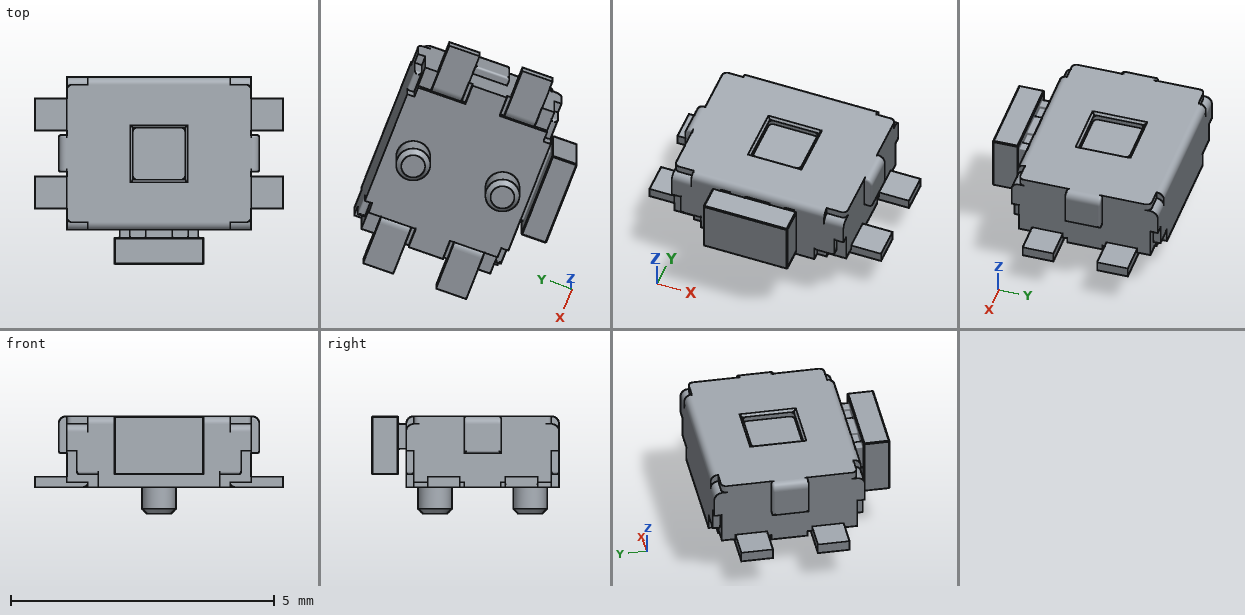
import cadquery as cq


body_length = 3.487
body_width = 2.9
total_height = 1.35
sheet = 0.145
housing_height = total_height - sheet
core_width = body_width - 2 * sheet
cover_length = 2.7
cover_corner_radius = 0.1
corner_block_bottom = 0.69

flap_length = 3.11
flap_bottom = 0.245
flap_edge_radius = 0.055
panel_length = 2.305
panel_height = 0.925

clip_reach = 0.16
clip_width = 0.7
clip_bottom = 0.65
clip_edge_radius = 0.045

window_size = 1.085
window_bevel = 0.045
window_corner_radius = 0.085
window_y = -0.005

terminal_span = 4.7
terminal_width = 0.61
terminal_height = 0.2
terminal_spacing = 1.475
terminal_bend_radius = 0.165
terminal_inner_x = 1.31
undercut_height = 0.1
undercut_inner_x = cover_length / 2
undercut_inner_y = 0.35

pin_diameter = 0.65
pin_length = 0.505
pin_chamfer = 0.1
pin_spacing = 1.805

button_protrusion = 0.65
button_length = 1.7
button_depth = 0.505
button_bottom = 0.245
button_edge = 0.02
stem_length = 1.495
stem_bottom = 0.73
stem_edge = 0.02
root_radius = 0.02
groove_width = 0.3
groove_x = 0.4
groove_depth = 0.07
groove_edge = 0.02


def block(length, width, bottom, top, x=0, y=0):
    """Box centred at (x, y) that spans the heights bottom to top."""
    size = (length, width, top - bottom)
    return cq.Workplane("XY").box(*size, centered=(True, True, False)).translate((x, y, bottom))


def make_housing():
    core = block(body_length, core_width, 0, housing_height)
    undercut_x = (body_length / 2 + undercut_inner_x) / 2
    undercut_y = (core_width / 2 + undercut_inner_y) / 2
    undercut_size = (body_length / 2 - undercut_inner_x, core_width / 2 - undercut_inner_y)
    for sx in (-1, 1):
        for sy in (-1, 1):
            core = core.cut(block(*undercut_size, 0, undercut_height, sx * undercut_x, sy * undercut_y))
    shoulders = block(body_length, body_width, corner_block_bottom, housing_height)
    shoulders = shoulders.edges("|X and >Z").fillet(sheet)
    panels = block(panel_length, body_width, 0, panel_height)
    return core.union(shoulders).union(panels)


def make_cover():
    plate = block(body_length, core_width, housing_height, total_height)
    plate = plate.edges("|Z").fillet(cover_corner_radius)
    bends = block(cover_length, body_width, corner_block_bottom, total_height)
    bends = bends.edges("|X and >Z").fillet(sheet)
    cover = plate.union(bends)
    for side in (-1, 1):
        flap_y = side * (body_width - sheet) / 2
        flap = block(flap_length, sheet, flap_bottom, corner_block_bottom, y=flap_y)
        cover = cover.union(flap.faces("<Z").edges().fillet(flap_edge_radius))
    return cover


def make_clips():
    clips = block(body_length + 2 * clip_reach, clip_width, clip_bottom, total_height)
    clips = clips.edges("|Y and >Z").fillet(sheet)
    return clips.faces("<X or >X").edges("not >Z").fillet(clip_edge_radius)


def make_window():
    opening_size = window_size - 2 * window_bevel
    opening = block(opening_size, opening_size, housing_height, total_height, y=window_y)
    opening = opening.edges("|Z").fillet(window_corner_radius)
    bevel = cq.Workplane("XY", origin=(0, window_y, total_height)).rect(window_size, window_size)
    return opening.union(bevel.extrude(-window_bevel, taper=45))


def make_terminals():
    terminals = cq.Workplane("XY")
    length = terminal_span / 2 - terminal_inner_x
    centre_x = (terminal_span / 2 + terminal_inner_x) / 2
    for y in (-terminal_spacing / 2, terminal_spacing / 2):
        lead = block(length, terminal_width, 0, terminal_height, centre_x, y)
        lead = lead.edges("<X and <Z").fillet(terminal_bend_radius)
        terminals = terminals.add(lead).add(lead.mirror("YZ"))
    return terminals.combine()


def make_pins():
    pins = cq.Workplane("XY").pushPoints([(0, -pin_spacing / 2), (0, pin_spacing / 2)])
    pins = pins.circle(pin_diameter / 2).extrude(-pin_length)
    return pins.faces("<Z").chamfer(pin_chamfer)


def make_head(front_y, back_y):
    head = block(button_length, button_depth, button_bottom, total_height, y=(front_y + back_y) / 2)
    return head.edges().chamfer(button_edge)


def make_stem(back_y):
    """Stem from the back of the button head into the housing, with two grooves on top."""
    inner_y = -core_width / 2
    depth = inner_y - back_y
    centre_y = (inner_y + back_y) / 2
    stem = block(stem_length, depth, stem_bottom, housing_height, y=centre_y)
    stem = stem.edges("|Y").fillet(stem_edge)
    groove_bottom = housing_height - groove_depth
    mouth_reach = groove_width / 2 + groove_edge
    for x in (-groove_x, groove_x):
        groove = block(groove_width, depth, groove_bottom, housing_height, x, centre_y)
        stem = stem.cut(groove.edges("|Y and <Z").fillet(groove_edge))
        mouth = cq.selectors.BoxSelector(
            (x - mouth_reach, back_y - groove_edge, housing_height - groove_edge),
            (x + mouth_reach, inner_y + groove_edge, housing_height + groove_edge),
        )
        stem = stem.edges(mouth).edges("|Y").fillet(groove_edge)
    return stem


def make_button():
    front_y = -body_width / 2 - button_protrusion
    back_y = front_y + button_depth
    button = make_head(front_y, back_y).union(make_stem(back_y))
    margin = root_radius / 2
    root = cq.selectors.BoxSelector(
        (-stem_length / 2 - margin, back_y - margin, stem_bottom - margin),
        (stem_length / 2 + margin, back_y + margin, housing_height + margin),
    )
    return button.edges(root).fillet(root_radius)


result = make_housing().union(make_cover()).union(make_clips()).cut(make_window())
result = result.union(make_terminals()).union(make_pins()).union(make_button())